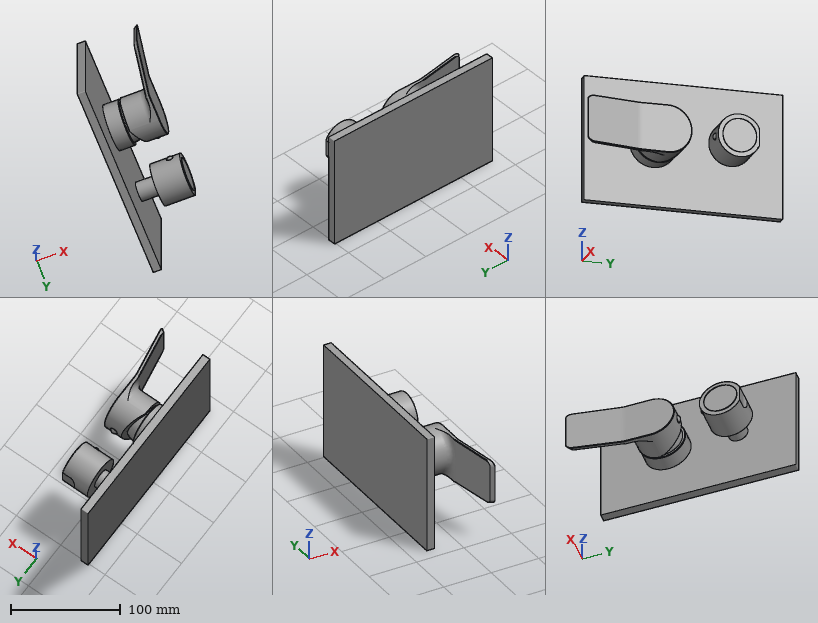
import cadquery as cq
import math

overall_length = 203.5

plate_length = 190.0
plate_height = 120.0
plate_thickness = 8.0
plate_corner_radius = 0.6
plate_end = plate_length / 2

knob_y = plate_end - 56.0
stem_radius = 9.4
knob_radius = 20.5
knob_start = 26.5
knob_end = 55.8
knob_cap_radius = 16.0
knob_cap_height = 0.6
grip_depth = 1.8
grip_length = 9.0
grip_run_in = 6.1
knob_dot_x = 46.0
knob_dot_radius = 3.3
knob_dot_rise = 1.8

mixer_y = plate_end - 124.2
sleeve_radius = 22.4
sleeve_end = 23.5
sleeve_chamfer = 0.6
ball_radius = 19.7

barrel_radius = 23.0
barrel_start = 25.2
bevel_top = 35.6
lever_face = 55.2
edge_chamfer = 0.6
button_x = 44.2
button_radius = 3.9
button_rise = 2.0

blade_thickness = 3.7
blade_angle = 9.6
blade_inner_face = lever_face - blade_thickness
bend_reach = 26.5
bend_radius = 26.5
foot_fillet = 6.1
tip_half_width = 22.4
tip_corner_radius = 5.0
tip_undercut = 2.9
tip_trim = 0.35
tip_reach = overall_length - plate_end + mixer_y + tip_trim

dot_foot = 1.0
pick_margin = 2.0
slab_half_width = 2 * barrel_radius
facing_limit = 0.9



def cylinder_along_x(radius, start, end, y):
    return cq.Workplane("YZ", origin=(start, y, 0)).circle(radius).extrude(end - start)


def dome(base_radius, rise, x, y, outward):
    """Spherical cap on a short foot sunk below its base; outward is 1 for +Y, -1 for -Y."""
    sphere_radius = (base_radius**2 + rise**2) / (2 * rise)
    half_angle = math.asin(base_radius / sphere_radius) / 2
    cap_middle = (
        sphere_radius * math.sin(half_angle),
        outward * (rise - sphere_radius * (1 - math.cos(half_angle))),
    )
    return (
        cq.Workplane("XY", origin=(x, y, 0))
        .moveTo(0, -outward * dot_foot)
        .lineTo(base_radius, -outward * dot_foot)
        .lineTo(base_radius, 0)
        .threePointArc(cap_middle, (0, outward * rise))
        .close()
        .revolve(360, (0, 0), (0, 1))
    )


def edges_within(body, low, high):
    """Edges whose centres lie in a box given relative to the mixer axis."""
    box_start = (low[0], low[1] + mixer_y, low[2])
    box_stop = (high[0], high[1] + mixer_y, high[2])
    return body.edges(cq.selectors.BoxSelector(box_start, box_stop))


def rim_edges(faces):
    """Edges around a patch of neighbouring faces, without the edges between them."""
    edges = [edge for face in faces for edge in face.Edges()]
    return [edge for edge in edges if sum(edge.isSame(other) for other in edges) == 1]



def make_plate():
    return (
        cq.Workplane("XY")
        .box(plate_thickness, plate_length, plate_height, centered=(False, True, True))
        .edges("|X")
        .fillet(plate_corner_radius)
    )


def make_thumb_grip():
    """Cutter for the flat with a concave run-in on the +Y side of the knob."""
    flat_y = knob_y + knob_radius - grip_depth
    flat_start = knob_end - grip_length
    run_in_radius = (grip_run_in**2 + grip_depth**2) / (2 * grip_depth)
    half_angle = math.asin(grip_run_in / run_in_radius) / 2
    run_in_middle = (
        flat_start - run_in_radius * math.sin(half_angle),
        flat_y + run_in_radius * (1 - math.cos(half_angle)),
    )
    return (
        cq.Workplane("XY")
        .moveTo(knob_end, flat_y)
        .lineTo(flat_start, flat_y)
        .threePointArc(run_in_middle, (flat_start - grip_run_in, flat_y + grip_depth))
        .lineTo(knob_end, flat_y + grip_depth)
        .close()
        .extrude(knob_radius, both=True)
    )


def make_knob():
    stem = cylinder_along_x(stem_radius, plate_thickness, knob_start, knob_y)
    drum = cylinder_along_x(knob_radius, knob_start, knob_end, knob_y).cut(make_thumb_grip())
    cap = cylinder_along_x(knob_cap_radius, knob_end, knob_end + knob_cap_height, knob_y)
    dot = dome(knob_dot_radius, knob_dot_rise, knob_dot_x, knob_y - knob_radius, -1)
    return stem.union(drum).union(cap).union(dot)


def make_ball():
    return cq.Workplane("XY").sphere(ball_radius).translate((sleeve_end, mixer_y, 0))


def make_mixer_sleeve():
    sleeve = cylinder_along_x(sleeve_radius, plate_thickness, sleeve_end, mixer_y)
    sleeve = sleeve.faces(">X").edges().chamfer(sleeve_chamfer)
    return sleeve.union(make_ball())


def make_plate_assembly():
    return make_plate().union(make_knob()).union(make_mixer_sleeve())



def make_blade_slab():
    """Bent bar with the thickness of the blade, wider than the finished lever."""
    slope = math.tan(math.radians(blade_angle))
    tip_inner_reach = tip_reach - tip_undercut
    tip_outer = (lever_face + (tip_reach - bend_reach) * slope, -tip_reach)
    tip_inner = (blade_inner_face + (tip_inner_reach - bend_reach) * slope, -tip_inner_reach)
    slab = (
        cq.Workplane("XY", origin=(0, mixer_y, 0))
        .moveTo(lever_face, slab_half_width)
        .lineTo(lever_face, -bend_reach)
        .lineTo(*tip_outer)
        .lineTo(*tip_inner)
        .lineTo(blade_inner_face, -bend_reach)
        .lineTo(blade_inner_face, slab_half_width)
        .close()
        .extrude(slab_half_width, both=True)
    )
    bend_edges = edges_within(
        slab,
        (blade_inner_face - pick_margin, -bend_reach - pick_margin, -pick_margin),
        (lever_face + pick_margin, -bend_reach + pick_margin, pick_margin),
    )
    return bend_edges.fillet(bend_radius)


def make_lever_outline():
    """Prism along X: half round on the +Y side, tapering to the tip on the -Y side."""
    return (
        cq.Workplane("YZ", origin=(0, mixer_y, 0))
        .moveTo(0, barrel_radius)
        .threePointArc((barrel_radius, 0), (0, -barrel_radius))
        .lineTo(-tip_reach, -tip_half_width)
        .lineTo(-tip_reach, tip_half_width)
        .close()
        .extrude(2 * lever_face)
    )


def fillet_barrel_foot(body):
    """Fillet the full circle where the barrel runs into the slab."""
    reach = barrel_radius + pick_margin
    near_foot = edges_within(
        body,
        (blade_inner_face - pick_margin, -reach, -reach),
        (blade_inner_face + pick_margin, reach, reach),
    )
    foot = [edge for edge in near_foot.vals() if edge.geomType() != "LINE"]
    return body.newObject(foot).fillet(foot_fillet)


def make_corner_trimmings(blade):
    """Material outside the round corners of the blade tip."""
    tip_edges = edges_within(
        blade,
        (0, -tip_reach, -barrel_radius),
        (2 * lever_face, -tip_reach + tip_undercut, barrel_radius),
    )
    return blade.cut(tip_edges.edges("not |Z").fillet(tip_corner_radius))


def make_bevel_trimmings(blade):
    """Material outside the bevels along the inner side edges, from the bend to the tip."""
    inner_faces = [face for face in blade.faces().vals() if face.normalAt().x < -facing_limit]
    inner_rim = blade.newObject(rim_edges(inner_faces))
    beveled = inner_rim.edges("not |Z").chamfer(edge_chamfer)
    beyond_bend = cq.Workplane("XY", origin=(lever_face, mixer_y - bend_reach - tip_reach, 0)).box(
        lever_face, 2 * tip_reach, 2 * slab_half_width
    )
    return blade.cut(beveled).intersect(beyond_bend)


def chamfer_outer_rim(lever):
    """Chamfer the whole outline of the lever's +X side."""
    outer_faces = [face for face in lever.faces().vals() if face.normalAt().x > facing_limit]
    return lever.newObject(rim_edges(outer_faces)).chamfer(edge_chamfer)


def make_back_bevel():
    """Wedge cut from the back of the barrel on the +Y side."""
    return (
        cq.Workplane("XY", origin=(0, mixer_y, 0))
        .moveTo(barrel_start, 0)
        .lineTo(bevel_top, barrel_radius)
        .lineTo(barrel_start, barrel_radius)
        .close()
        .extrude(barrel_radius, both=True)
    )


def make_lever():
    barrel = cylinder_along_x(barrel_radius, barrel_start, lever_face, mixer_y)
    slab = make_blade_slab()
    outline = make_lever_outline()
    lever = fillet_barrel_foot(barrel.union(slab)).intersect(outline)

    blade = slab.intersect(outline)
    lever = lever.cut(make_corner_trimmings(blade)).cut(make_bevel_trimmings(blade))
    lever = chamfer_outer_rim(lever)

    lever = lever.cut(make_back_bevel()).cut(make_ball())
    button = dome(button_radius, button_rise, button_x, mixer_y + barrel_radius, 1)
    return lever.union(button)


plate_assembly = make_plate_assembly()
lever = make_lever()
result = cq.Compound.makeCompound([plate_assembly.val(), lever.val()])